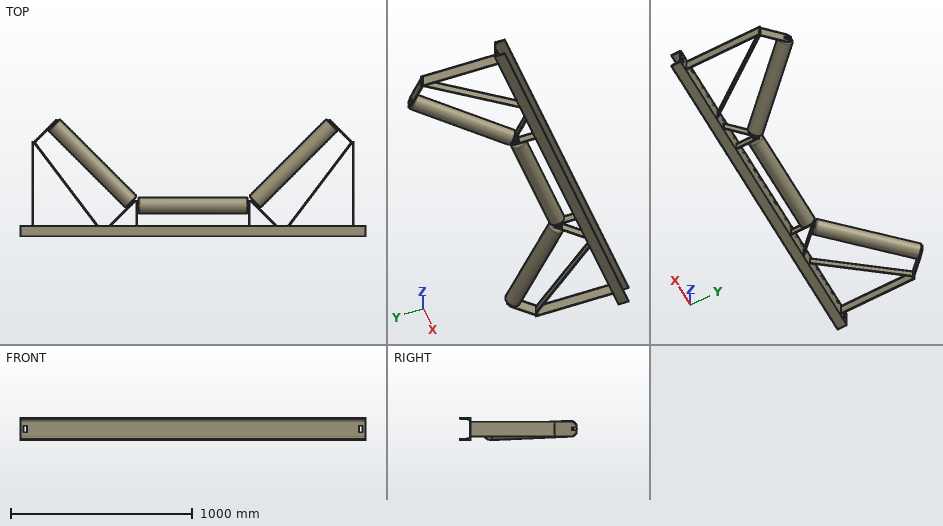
import cadquery as cq
import math


BEAM_LENGTH = 1900.0
BEAM_HEIGHT = 125.0
BEAM_DEPTH = 59.0
WEB_THICKNESS = 5.0
FLANGE_TIP_THICKNESS = 8.0
FLANGE_ROOT_THICKNESS = 11.0
ROOT_RADIUS = 10.0
END_SLOT_X = 923.0
END_SLOT_WIDTH = 17.0
END_SLOT_HEIGHT = 35.0

ROLLER_DIAMETER = 90.0
ROLLER_LENGTH = 600.0
ROLLER_EDGE_RADIUS = 5.0
SHAFT_DIAMETER = 15.0
SHAFT_STUB = 10.0
MIDDLE_ROLLER_Y = 171.0
MIDDLE_ROLLER_Z = -17.0
TROUGH_ANGLE = 45.0
SIDE_ROLLER_TILT = 1.8
SIDE_ROLLER_X = -553.0
SIDE_ROLLER_Y = 403.0

PLATE_THICKNESS = 5.0
SHAFT_SLOT_WIDTH = 17.0

OUTER_WIDTH = 82.0
OUTER_POST_X = -882.0
OUTER_POST_TOP = 520.0
OUTER_ARM_START_Y = 510.0
OUTER_ARM_LENGTH = 185.0
TIP_CHAMFER_LENGTH = 28.0
TIP_CHAMFER_WIDTH = 17.0

INNER_WIDTH = 53.0
INNER_POST_X = -310.0
INNER_TOP = 198.0
INNER_CAP_LENGTH = 11.0

BRACE_WIDTH = 51.0
BRACE_START = 10.0
BRACE_FOOT_X = -522.0

COS = math.cos(math.radians(TROUGH_ANGLE))
SIN = math.sin(math.radians(TROUGH_ANGLE))
HALF_RISE = ROLLER_LENGTH / 2 * math.sin(math.radians(SIDE_ROLLER_TILT))
SIDE_ROLLER_Z = MIDDLE_ROLLER_Z + HALF_RISE
OUTER_SHAFT_Z = SIDE_ROLLER_Z + HALF_RISE
OUTER_ARM_START_X = OUTER_POST_X + PLATE_THICKNESS / 2
OUTER_SHAFT_POSITION = (
    (SIDE_ROLLER_X - OUTER_ARM_START_X) * COS + (SIDE_ROLLER_Y - OUTER_ARM_START_Y) * SIN
)


def beam():
    """Channel with tapered flanges, filleted roots and a slot through the web near each end."""
    half = BEAM_HEIGHT / 2
    web_face = BEAM_DEPTH - WEB_THICKNESS
    root = half - FLANGE_ROOT_THICKNESS
    tip = half - FLANGE_TIP_THICKNESS
    outline = [
        (BEAM_DEPTH, half), (0, half), (0, tip), (web_face, root),
        (web_face, -root), (0, -tip), (0, -half), (BEAM_DEPTH, -half),
    ]
    channel = cq.Workplane("YZ").polyline(outline).close().extrude(BEAM_LENGTH / 2, both=True).clean()
    for side in (1, -1):
        corner = cq.selectors.NearestToPointSelector((0, web_face, side * root))
        channel = channel.edges("|X").edges(corner).fillet(ROOT_RADIUS)
    slots = (
        cq.Workplane("XZ")
        .pushPoints([(-END_SLOT_X, 0), (END_SLOT_X, 0)])
        .rect(END_SLOT_WIDTH, END_SLOT_HEIGHT)
        .extrude(-BEAM_DEPTH)
    )
    return channel.cut(slots)


def roller(center, axis):
    """Drum with rounded rims and a shaft stub at each end."""
    def rod(diameter, length):
        start = cq.Vector(*center) - cq.Vector(*axis).normalized() * (length / 2)
        plane = cq.Plane(start, (0, 0, 1), axis)
        return cq.Workplane(plane).circle(diameter / 2).extrude(length)

    drum = rod(ROLLER_DIAMETER, ROLLER_LENGTH).faces("%PLANE").edges().fillet(ROLLER_EDGE_RADIUS)
    return drum.union(rod(SHAFT_DIAMETER, ROLLER_LENGTH + 2 * SHAFT_STUB))


def middle_roller():
    return roller((0, MIDDLE_ROLLER_Y, MIDDLE_ROLLER_Z), (1, 0, 0))


def side_roller():
    """Roller rising outward at the trough angle, with its outer end tilted up in Z."""
    rise = math.tan(math.radians(SIDE_ROLLER_TILT))
    return roller((SIDE_ROLLER_X, SIDE_ROLLER_Y, SIDE_ROLLER_Z), (-COS, SIN, rise))


def strip(start, end, width, z=0):
    """Flat plate on edge, centred on the XY line from start to end and on the height z."""
    length = math.dist(start, end)
    angle = math.degrees(math.atan2(end[1] - start[1], end[0] - start[0]))
    return (
        cq.Workplane("XY")
        .box(length, PLATE_THICKNESS, width, centered=(False, True, True))
        .rotate((0, 0, 0), (0, 0, 1), angle)
        .translate((start[0], start[1], z))
    )


def outer_arm():
    """Sloping plate with a chamfered tip and an open slot for the side roller shaft."""
    half = OUTER_WIDTH / 2
    shoulder = OUTER_ARM_LENGTH - TIP_CHAMFER_LENGTH
    tip_half = half - TIP_CHAMFER_WIDTH
    outline = [
        (0, half), (shoulder, half), (OUTER_ARM_LENGTH, tip_half),
        (OUTER_ARM_LENGTH, -tip_half), (shoulder, -half), (0, -half),
    ]
    plate = cq.Workplane("XZ").polyline(outline).close().extrude(-PLATE_THICKNESS)
    slot_floor = OUTER_SHAFT_POSITION - SHAFT_SLOT_WIDTH / 2
    slot = (
        cq.Workplane("XY")
        .box(OUTER_ARM_LENGTH - slot_floor, PLATE_THICKNESS, SHAFT_SLOT_WIDTH, centered=(False, False, True))
        .translate((slot_floor, 0, OUTER_SHAFT_Z))
    )
    return (
        plate.cut(slot)
        .rotate((0, 0, 0), (0, 0, 1), TROUGH_ANGLE)
        .translate((OUTER_ARM_START_X, OUTER_ARM_START_Y, 0))
    )


def outer_bracket():
    post = strip((OUTER_POST_X, BEAM_DEPTH), (OUTER_POST_X, OUTER_POST_TOP), OUTER_WIDTH)
    return post.union(outer_arm())


def behind_beam(body):
    """Trim a plate flush with the back of the beam web."""
    beam_block = cq.Workplane("XY").box(BEAM_LENGTH, BEAM_DEPTH, BEAM_HEIGHT, centered=(True, False, True))
    return body.cut(beam_block)


def inner_bracket():
    """Post and sloping leg joined by a short cap, notched from the top for both roller shafts."""
    cap_y = INNER_TOP - PLATE_THICKNESS / 2
    cap_end_x = INNER_POST_X - INNER_CAP_LENGTH
    leg_drop = INNER_TOP - BEAM_DEPTH
    foot = (cap_end_x - leg_drop / math.tan(math.radians(TROUGH_ANGLE)), cap_y - leg_drop)

    post = strip((INNER_POST_X, BEAM_DEPTH), (INNER_POST_X, INNER_TOP), INNER_WIDTH, MIDDLE_ROLLER_Z)
    cap = strip((INNER_POST_X, cap_y), (cap_end_x, cap_y), INNER_WIDTH, MIDDLE_ROLLER_Z)
    leg = strip((cap_end_x, cap_y), foot, INNER_WIDTH, MIDDLE_ROLLER_Z)

    notch_floor = MIDDLE_ROLLER_Y - SHAFT_SLOT_WIDTH / 2
    notch_length = 2 * (INNER_TOP - notch_floor + INNER_CAP_LENGTH + PLATE_THICKNESS)
    notch = (
        cq.Workplane("XY")
        .box(notch_length, INNER_TOP - notch_floor, SHAFT_SLOT_WIDTH, centered=(True, False, True))
        .translate((INNER_POST_X, notch_floor, MIDDLE_ROLLER_Z))
    )
    return behind_beam(post.union(cap).union(leg)).cut(notch)


def brace():
    """Diagonal strut from the underside of the outer arm down to the beam."""
    middle = PLATE_THICKNESS / 2
    start = (
        OUTER_ARM_START_X + BRACE_START * COS - middle * SIN,
        OUTER_ARM_START_Y + BRACE_START * SIN + middle * COS,
    )
    foot = (BRACE_FOOT_X, BEAM_DEPTH - PLATE_THICKNESS)
    return behind_beam(strip(start, foot, BRACE_WIDTH)).cut(outer_bracket())


bodies = [beam().solids().val(), middle_roller().solids().val()]
for make_body in (side_roller, outer_bracket, inner_bracket, brace):
    left = make_body().solids().val()
    right = left.mirror("YZ")
    bodies += [left, right]

result = cq.Compound.makeCompound(bodies)